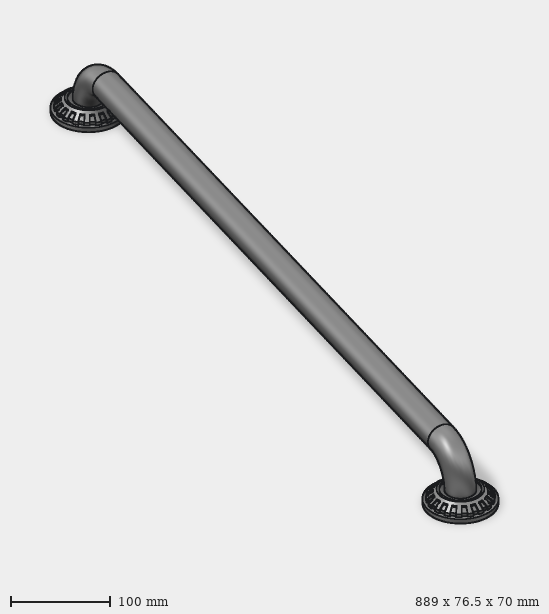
import cadquery as cq
import math

overall_length = 889.0
overall_height = 70.0
flange_diameter = 76.5

tube_diameter = 32.0
bend_radius = 40.0

base_thickness = 5.0

wall_radius = 35.0
wall_top = 9.0
crown_radius = 24.0
crown_top = 17.0
recess_radius = 21.0
recess_depth = 1.3

flute_count = 18
flute_depth = 2.0
flute_inner_radius = 28.0

tube_radius = tube_diameter / 2
flange_radius = flange_diameter / 2
post_x = overall_length / 2 - flange_radius
bar_z = overall_height - tube_radius
bar_half_length = post_x - bend_radius
bend_start_z = bar_z - bend_radius
recess_floor = crown_top - recess_depth
shoulder_slope = (crown_top - wall_top) / (wall_radius - crown_radius)
flute_pitch = 360 / flute_count
flute_angle = flute_pitch / 2


def make_bar():
    """Straight grip bar running along X between the two elbows."""
    return (
        cq.Workplane("YZ", origin=(-bar_half_length, 0, bar_z))
        .circle(tube_radius)
        .extrude(2 * bar_half_length)
    )


def make_elbow():
    """Quarter bend at the +X end, with its foot standing on the base disc."""
    bend_sagitta = bend_radius * (1 - math.sqrt(0.5))
    bend_middle = (post_x - bend_sagitta, bar_z - bend_sagitta)
    path = (
        cq.Workplane("XZ")
        .moveTo(post_x, base_thickness)
        .lineTo(post_x, bend_start_z)
        .threePointArc(bend_middle, (bar_half_length, bar_z))
    )
    return (
        cq.Workplane("XY", origin=(post_x, 0, base_thickness))
        .circle(tube_radius)
        .sweep(path)
    )


def make_base():
    """Plain mounting disc under the elbow and rosette at the +X end."""
    return (
        cq.Workplane("XY", origin=(post_x, 0, 0))
        .circle(flange_radius)
        .extrude(base_thickness)
    )


def revolve_about_z(outline, angle):
    """Revolve a closed (radius, height) outline about the Z axis."""
    return cq.Workplane("XZ").polyline(outline).close().revolve(angle, (0, 0, 0), (0, 1, 0))


def make_flute_cutter():
    """One wedge whose floor lies below the shoulder and behind the wall."""
    floor_drop = flute_depth + shoulder_slope * (flute_inner_radius - crown_radius)
    floor_radius = wall_radius - flute_depth
    outline = [
        (flute_inner_radius, crown_top),
        (flute_inner_radius, crown_top - floor_drop),
        (floor_radius, wall_top),
        (floor_radius, base_thickness),
        (flange_radius, base_thickness),
        (flange_radius, crown_top),
    ]
    return revolve_about_z(outline, flute_angle).rotate((0, 0, 0), (0, 0, 1), -flute_angle / 2)


def make_rosette():
    """Fluted cover ring around the elbow foot at the +X end."""
    rosette = revolve_about_z(
        [
            (tube_radius, base_thickness),
            (wall_radius, base_thickness),
            (wall_radius, wall_top),
            (crown_radius, crown_top),
            (recess_radius, crown_top),
            (recess_radius, recess_floor),
            (tube_radius, recess_floor),
        ],
        360,
    )
    flute = make_flute_cutter()
    for index in range(flute_count):
        rosette = rosette.cut(flute.rotate((0, 0, 0), (0, 0, 1), index * flute_pitch))
    return rosette.translate((post_x, 0, 0)).cut(make_elbow())


bodies = [make_bar().val()]
for end_part in (make_elbow(), make_base(), make_rosette()):
    bodies.extend(end_part.solids().vals())
    bodies.extend(end_part.mirror("YZ").solids().vals())

result = cq.Compound.makeCompound(bodies)